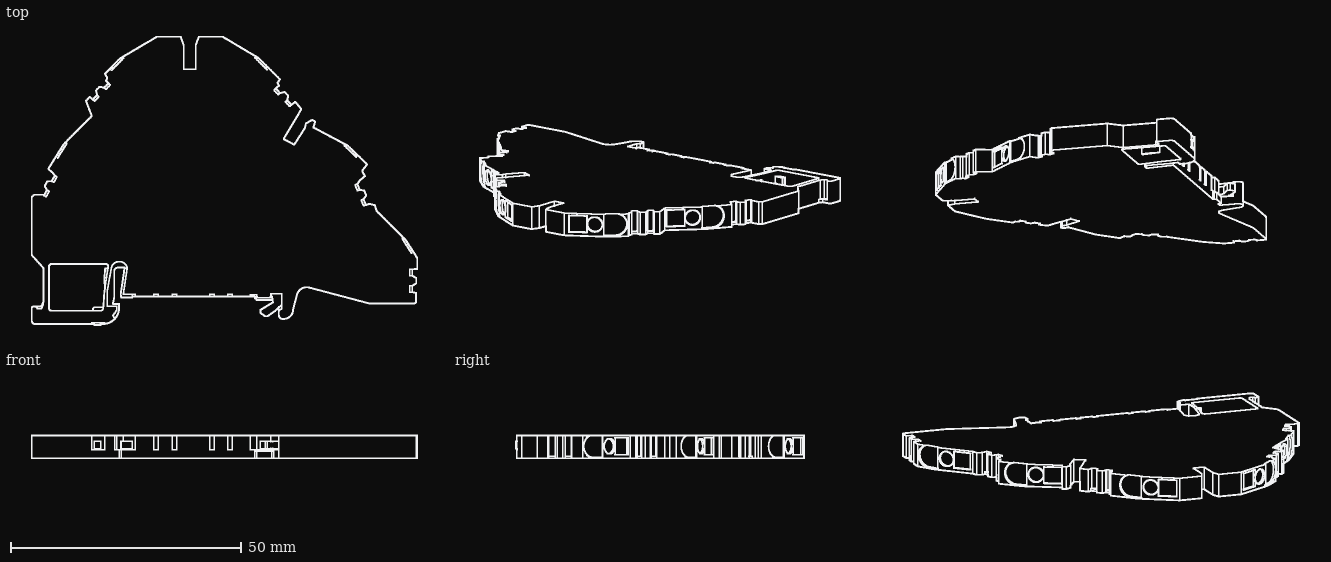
import cadquery as cq
import math


THICKNESS = 5.0
WIDTH = 83.75
HEIGHT = 62.62
RAIL_Y = 6.18
FOOT_BOTTOM = 0.2
POCKET_FLOOR_Z = 1.85
INSERT_BOTTOM_Z = 2.1
INSERT_TOP_Z = 3.7

TOOTH_TIP_HALF = 0.6
TOOTH_ROOT_HALF = 1.1
STRIP_HALF = 2.45
NOTCH_DEPTH = 0.85
NOTCH_INNER_DEPTH = 1.4
NOTCH_LEDGE = 0.5

STRIP_LOWER_LEFT = (3.1, 30.7, 151.7)
STRIP_UPPER_LEFT = (14.36, 51.35, 136.0)
STRIP_UPPER_RIGHT = (55.33, 50.21, 44.0)
STRIP_LOWER_RIGHT = (72.45, 28.68, 22.0)
STRIP_FAR_RIGHT = (83.5, 9.64, 0.0)
STRIPS = [
    STRIP_LOWER_LEFT,
    STRIP_UPPER_LEFT,
    STRIP_UPPER_RIGHT,
    STRIP_LOWER_RIGHT,
    STRIP_FAR_RIGHT,
]

ENTRY_LOWER_LEFT = ((13.04, 45.41), (6.9, 39.2), (3.6, 33.9))
ENTRY_UPPER_LEFT = ((27.2, HEIGHT), (19.2, 57.9), (15.9, 54.58))
ENTRY_UPPER_RIGHT = ((41.49, HEIGHT), (49.25, 58.0), (53.94, 53.33))
ENTRY_LOWER_RIGHT = ((61.19, 42.93), (68.6, 38.99), (72.86, 34.89))
ENTRY_FAR_RIGHT = ((74.91, 24.8), (81.21, 18.5), (WIDTH, 14.56))
ENTRIES = [
    ENTRY_LOWER_LEFT,
    ENTRY_UPPER_LEFT,
    ENTRY_UPPER_RIGHT,
    ENTRY_LOWER_RIGHT,
    ENTRY_FAR_RIGHT,
]

ENTRY_Z = 2.65
ENTRY_DEPTH = 0.5
ENTRY_CLEARANCE = 0.4
SCREW_AT = 2.65
SCREW_RADIUS = 1.65
WINDOW_AT = 6.35
WINDOW_LENGTH = 4.0
WINDOW_HEIGHT = 3.7
FUNNEL_RADIUS = 2.42
FUNNEL_END = 4.45
FUNNEL_OVERRUN = 0.6

FOOT_LEFT_TOP = 4.1
POST_LEFT = 2.54
WINDOW_LEFT = 3.8
WINDOW_BOTTOM = 3.16
WINDOW_TOP = 13.24
SLOT_TOP = 12.46
CORNER_RADIUS = 0.5
FOOT_RADIUS = 0.8

NOSE_CORNER = (83.48, 4.69)

GROOVE_CENTRES = [27.0, 31.0, 39.2, 43.1]
GROOVE_WIDTH = 1.0
GROOVE_TOP = 6.7

RAIL_RECESS_END = 22.45

RAIL_LEDGE_TOP = 1.6
FOOT_FILLER_TOP = 0.75


def prism(points, z_low, z_high):
    """Straight-sided solid over a polygon, between two levels."""
    base = cq.Workplane("XY").workplane(offset=z_low)
    return base.polyline(points).close().extrude(z_high - z_low)


def box(x_low, x_high, y_low, y_high, z_low, z_high):
    """Solid box between the given limits."""
    corners = [(x_low, y_low), (x_high, y_low), (x_high, y_high), (x_low, y_high)]
    return prism(corners, z_low, z_high)


def strip_point(strip, along, outward):
    """Point of a marker strip; 'along' runs clockwise round the part."""
    x, y, degrees = strip
    c = math.cos(math.radians(degrees))
    s = math.sin(math.radians(degrees))
    return (x + along * s + outward * c, y - along * c + outward * s)


def strip_profile(strip):
    """Clockwise outline of the tooth and of the notches on its two sides."""
    profile = [
        (-STRIP_HALF, -NOTCH_DEPTH),
        (-TOOTH_ROOT_HALF, -NOTCH_DEPTH),
        (-TOOTH_TIP_HALF, 0),
        (TOOTH_TIP_HALF, 0),
        (TOOTH_ROOT_HALF, -NOTCH_DEPTH),
        (STRIP_HALF, -NOTCH_DEPTH),
    ]
    return [strip_point(strip, along, outward) for along, outward in profile]


def upper_rim():
    """Clockwise rim from the lower left shoulder to the lower right corner."""
    screw_slot = [(32.38, HEIGHT), (33.03, 60.8), (33.03, 55.56),
                  (35.6, 55.56), (35.6, 60.8), (36.3, HEIGHT)]
    tilted_slot = [(57.25, 48.51), (58.58, 46.87), (54.73, 40.41), (57.0, 39.21),
                   (59.3, 42.77), (59.52, 43.78), (60.88, 44.57), (61.6, 44.19)]
    return [
        (0, 27.8), (0.57, 28.32), (2.54, 28.32),
        *strip_profile(STRIP_LOWER_LEFT),
        (4.55, 33.08), *reversed(ENTRY_LOWER_LEFT),
        (11.78, 48.69), (12.62, 49.59),
        *strip_profile(STRIP_UPPER_LEFT),
        (16.13, 53.04), (16.41, 53.65), *reversed(ENTRY_UPPER_LEFT),
        *screw_slot,
        *ENTRY_UPPER_RIGHT, (53.4, 52.61), (53.72, 51.98),
        *strip_profile(STRIP_UPPER_RIGHT),
        *tilted_slot,
        *ENTRY_LOWER_RIGHT, (71.75, 33.47), (72.38, 32.37), (71.28, 31.42),
        *strip_profile(STRIP_LOWER_RIGHT),
        (73.3, 26.35), (74.53, 26.06),
        *ENTRY_FAR_RIGHT, (WIDTH, 12.19),
        *strip_profile(STRIP_FAR_RIGHT),
        (NOSE_CORNER[0], 6.99), NOSE_CORNER, (73.25, NOSE_CORNER[1]),
    ]


def housing_plate():
    """Full-thickness plate: rim, right hook, spring slot and rail foot."""
    path = cq.Workplane("XY").moveTo(0, FOOT_BOTTOM)
    left_side = [(0, FOOT_LEFT_TOP), (0.95, FOOT_LEFT_TOP), (1.28, 3.58), (2.12, 3.58),
                 (POST_LEFT, 4.56), (POST_LEFT, 12.4), (0, 15.21)]
    for point in left_side + upper_rim():
        path = path.lineTo(*point)
    path = path.lineTo(60.0, 8.2)
    path = path.threePointArc((58.4, 7.75), (57.55, 6.3))
    path = path.lineTo(56.78, 3.36)
    path = path.threePointArc((56.2, 1.95), (54.95, 1.35))
    path = path.threePointArc((54.0, 1.5), (53.63, 2.4))
    path = path.lineTo(53.63, RAIL_Y)
    path = path.lineTo(19.49, RAIL_Y).lineTo(20.19, SLOT_TOP).lineTo(18.7, SLOT_TOP)
    path = path.threePointArc((18.15, 12.23), (17.95, 11.7))
    path = path.lineTo(17.95, 5.96).lineTo(17.67, 4.61).lineTo(19.01, 4.61)
    path = path.lineTo(19.01, 3.3)
    path = path.threePointArc((18.0, 1.3), (15.5, FOOT_BOTTOM))
    plate = path.close().extrude(THICKNESS)
    plate = round_corner(plate, (0, FOOT_BOTTOM), FOOT_RADIUS)
    plate = round_corner(plate, (0, FOOT_LEFT_TOP), CORNER_RADIUS)
    return round_corner(plate, NOSE_CORNER, CORNER_RADIUS)


def round_corner(body, corner, radius):
    """Round the upright edge that stands on the given corner."""
    middle = (corner[0], corner[1], THICKNESS / 2)
    edge = body.edges("|Z").edges(cq.selectors.NearestToPointSelector(middle))
    return edge.fillet(radius)


def foot_window():
    """Opening of the rail foot; its right side follows the leaning arm."""
    corners = [(WINDOW_LEFT, WINDOW_BOTTOM), (15.5, WINDOW_BOTTOM),
               (15.75, 7.0), (16.69, WINDOW_TOP), (WINDOW_LEFT, WINDOW_TOP)]
    window = prism(corners, 0, THICKNESS)
    for index in (0, 1, 3, 4):
        window = round_corner(window, corners[index], CORNER_RADIUS)
    return window


def notch_pockets():
    """Deeper part of every marker notch, above the thin bottom ledge."""
    pockets = []
    for strip in STRIPS:
        for side in (-1, 1):
            corners = [
                strip_point(strip, side * TOOTH_ROOT_HALF, -NOTCH_DEPTH),
                strip_point(strip, side * STRIP_HALF, -NOTCH_DEPTH),
                strip_point(strip, side * STRIP_HALF, -NOTCH_INNER_DEPTH),
                strip_point(strip, side * TOOTH_ROOT_HALF, -NOTCH_INNER_DEPTH),
            ]
            pockets.append(prism(corners, NOTCH_LEDGE, THICKNESS))
    return pockets


def facet_plane(corner, end, outward_turn):
    """Plane outside a facet: local x from corner to end, local y along Z."""
    length = math.hypot(end[0] - corner[0], end[1] - corner[1])
    along = ((end[0] - corner[0]) / length, (end[1] - corner[1]) / length)
    outward = (-along[1] * outward_turn, along[0] * outward_turn)
    origin = (
        corner[0] + ENTRY_CLEARANCE * outward[0],
        corner[1] + ENTRY_CLEARANCE * outward[1],
        ENTRY_Z,
    )
    normal = (along[1], -along[0], 0)
    plane = cq.Plane(origin=origin, xDir=(along[0], along[1], 0), normal=normal)
    depth = outward_turn * (ENTRY_CLEARANCE + ENTRY_DEPTH)
    return plane, depth


def entry_recesses(entry):
    """Screw hole and test window on one facet, wire funnel on the other."""
    screw_end, corner, wire_end = entry
    on_left_flank = screw_end[0] > corner[0]
    screw_turn = 1 if on_left_flank else -1

    plane, depth = facet_plane(corner, screw_end, screw_turn)
    screw = cq.Workplane(plane).center(SCREW_AT, 0).circle(SCREW_RADIUS).extrude(depth)
    window = cq.Workplane(plane).center(WINDOW_AT, 0)
    window = window.rect(WINDOW_LENGTH, WINDOW_HEIGHT).extrude(depth)

    plane, depth = facet_plane(corner, wire_end, -screw_turn)
    centre = FUNNEL_END - FUNNEL_RADIUS
    funnel = (
        cq.Workplane(plane)
        .moveTo(-FUNNEL_OVERRUN, -FUNNEL_RADIUS)
        .lineTo(centre, -FUNNEL_RADIUS)
        .threePointArc((FUNNEL_END, 0), (centre, FUNNEL_RADIUS))
        .lineTo(-FUNNEL_OVERRUN, FUNNEL_RADIUS)
        .close()
        .extrude(depth)
    )
    return [screw, window, funnel]


def clip_recesses():
    """Recesses open to the upper face that house the clip insert."""
    spring_slot = (
        cq.Workplane("XY")
        .workplane(offset=POCKET_FLOOR_Z)
        .moveTo(16.41, FOOT_LEFT_TOP)
        .lineTo(16.41, 7.36)
        .lineTo(17.3, 12.3)
        .threePointArc((19.0, 13.8), (20.75, 12.4))
        .lineTo(19.91, GROOVE_TOP)
        .lineTo(RAIL_RECESS_END, GROOVE_TOP)
        .lineTo(RAIL_RECESS_END, RAIL_Y)
        .lineTo(19.2, FOOT_LEFT_TOP)
        .close()
        .extrude(THICKNESS - POCKET_FLOOR_Z)
    )
    claw_end = prism([(18.45, 4.7), (18.45, 3.16), (17.67, 2.1),
                      (18.2, 1.2), (19.3, 3.2), (19.3, 4.7)], POCKET_FLOOR_Z, THICKNESS)
    foot_pocket = box(13.1, 15.9, 0, 0.57, POCKET_FLOOR_Z, THICKNESS)
    rail_pocket = box(47.5, 48.9, RAIL_Y, 6.65, POCKET_FLOOR_Z, THICKNESS)
    hook_pocket = prism([(51.9, RAIL_Y), (51.9, 6.76), (54.26, 6.76), (54.26, 3.52), (53.6, 3.1)],
                        POCKET_FLOOR_Z, THICKNESS)
    recesses = [spring_slot, claw_end, foot_pocket, rail_pocket, hook_pocket]
    for centre in GROOVE_CENTRES:
        half = GROOVE_WIDTH / 2
        groove = box(centre - half, centre + half, RAIL_Y, GROOVE_TOP, POCKET_FLOOR_Z, THICKNESS)
        recesses.append(groove)
    return recesses


def clip_insert():
    """Visible pieces of the insert, all lying between the same two levels."""
    outlines = [
        [(13.6, 0), (15.0, 0), (15.0, 0.6), (13.6, 0.6)],
        [(13.32, 3.0), (13.32, 3.6), (13.6, 3.9), (15.9, 3.9), (15.9, 3.0)],
        [(15.95, 12.3), (15.75, 10.0), (15.9, 8.2), (16.1, 8.2), (16.7, 12.3)],
        [(19.45, 5.95), (21.9, 5.95), (21.9, 6.8), (20.1, 6.8), (20.9, 12.4), (20.15, 12.4), (19.3, 6.6)],
        [(51.9, 6.9), (54.3, 6.9), (54.3, 4.4), (52.84, 3.05), (51.2, 1.9), (50.7, 1.9),
         (49.65, 2.65), (49.65, 3.3), (52.36, 4.94), (52.2, 5.9)],
    ]
    return [prism(outline, INSERT_BOTTOM_Z, INSERT_TOP_Z) for outline in outlines]


def small_ledges():
    """Ledge under the rail face and filler in the corner of the foot."""
    rail_ledge = prism([(48.4, 6.3), (48.4, 5.9), (48.9, 5.45), (52.1, 5.45), (52.6, 5.9), (52.6, 6.3)],
                       0, RAIL_LEDGE_TOP)
    rail_tab = box(48.9, 51.9, 5.9, 6.3, POCKET_FLOOR_Z, THICKNESS)
    foot_filler = prism([(0.9, 3.5), (0.9, FOOT_LEFT_TOP), (2.1, FOOT_LEFT_TOP),
                         (POST_LEFT, 5.0), (2.7, 3.5)], 0, FOOT_FILLER_TOP)
    return [rail_ledge, rail_tab, foot_filler]


def build_housing():
    """Cut the recesses first, then add the insert that lies inside them."""
    housing = housing_plate().cut(foot_window())
    for entry in ENTRIES:
        for recess in entry_recesses(entry):
            housing = housing.cut(recess)
    for recess in notch_pockets() + clip_recesses():
        housing = housing.cut(recess)
    for addition in clip_insert() + small_ledges():
        housing = housing.union(addition)
    return housing


result = build_housing()